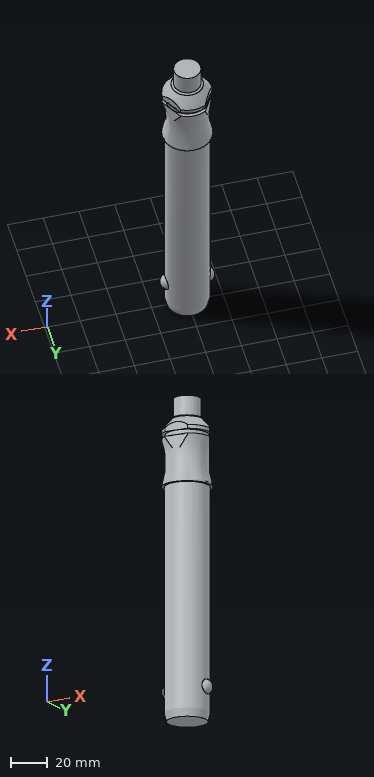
import cadquery as cq
import math


total_height = 182.06
handle_height = 50.0
shank_length = total_height - handle_height

shank_radius = 12.5
tip_radius = 11.4
tip_chamfer_length = 4.4

ball_radius = 4.5
ball_reach = 15.4
ball_height_above_tip = 18.2

handle_radius = 14.0
waist_radius = 11.85
bottom_rim_height = 1.0
top_rim_height = 0.7
grip_height = 26.9

groove_radius = 12.0
groove_height = 2.6
collar_rim_height = 2.2
collar_top_radius = 8.1
collar_lip_round = 0.7
collar_bulge = 0.15

button_radius = 7.5
button_length = 11.3

flat_count = 3
flat_width = handle_radius
flat_distance = math.sqrt(handle_radius**2 - (flat_width / 2)**2)
first_flat_angle = -90.0

tip_z = -shank_length
ball_z = tip_z + ball_height_above_tip
waist_z = (bottom_rim_height + grip_height - top_rim_height) / 2
groove_bottom_z = grip_height
groove_top_z = groove_bottom_z + groove_height
collar_shoulder_z = groove_top_z + collar_rim_height
collar_top_z = handle_height - button_length

waist_depth = handle_radius - waist_radius
grip_arc_height = waist_z - bottom_rim_height
grip_arc_radius = (grip_arc_height**2 + waist_depth**2) / (2 * waist_depth)

lip_radius = collar_top_radius + collar_lip_round
lip_z = collar_top_z - collar_lip_round


def make_shank():
    profile = (
        cq.Workplane("XZ")
        .moveTo(0, tip_z)
        .lineTo(tip_radius, tip_z)
        .lineTo(shank_radius, tip_z + tip_chamfer_length)
        .lineTo(shank_radius, 0)
        .lineTo(0, 0)
        .close()
    )
    return profile.revolve(360, (0, 0, 0), (0, 1, 0))


def collar_bulge_point():
    """Middle point of the collar's convex shoulder, as (radius, z)."""
    run = handle_radius - lip_radius
    rise = lip_z - collar_shoulder_z
    slant = math.hypot(run, rise)
    mid_radius = (handle_radius + lip_radius) / 2
    mid_z = (collar_shoulder_z + lip_z) / 2
    return (mid_radius + collar_bulge * rise / slant, mid_z + collar_bulge * run / slant)


def make_handle():
    profile = (
        cq.Workplane("XZ")
        .moveTo(0, 0)
        .lineTo(handle_radius, 0)
        .lineTo(handle_radius, bottom_rim_height)
        .radiusArc((waist_radius, waist_z), grip_arc_radius)
        .radiusArc((handle_radius, grip_height - top_rim_height), grip_arc_radius)
        .lineTo(handle_radius, groove_bottom_z)
        .lineTo(groove_radius, groove_bottom_z)
        .lineTo(groove_radius, groove_top_z)
        .lineTo(handle_radius, groove_top_z)
        .lineTo(handle_radius, collar_shoulder_z)
        .threePointArc(collar_bulge_point(), (lip_radius, lip_z))
        .radiusArc((collar_top_radius, collar_top_z), -collar_lip_round)
        .lineTo(button_radius, collar_top_z)
        .lineTo(button_radius, handle_height)
        .lineTo(0, handle_height)
        .close()
    )
    return profile.revolve(360, (0, 0, 0), (0, 1, 0))


def cut_flats(handle):
    """Cut the flats from the waist up, leaving the bottom rim round."""
    cutter_size = 2 * handle_radius
    cutter = (
        cq.Workplane("XY", origin=(flat_distance, 0, waist_z))
        .box(cutter_size, cutter_size, handle_height, centered=(False, True, False))
    )
    for index in range(flat_count):
        angle = first_flat_angle + index * 360 / flat_count
        handle = handle.cut(cutter.rotate((0, 0, 0), (0, 0, 1), angle))
    return handle


def make_balls():
    offset = ball_reach - ball_radius
    return (
        cq.Workplane("XY", origin=(0, 0, ball_z))
        .pushPoints([(-offset, 0), (offset, 0)])
        .sphere(ball_radius)
    )


result = make_shank().union(cut_flats(make_handle())).union(make_balls())